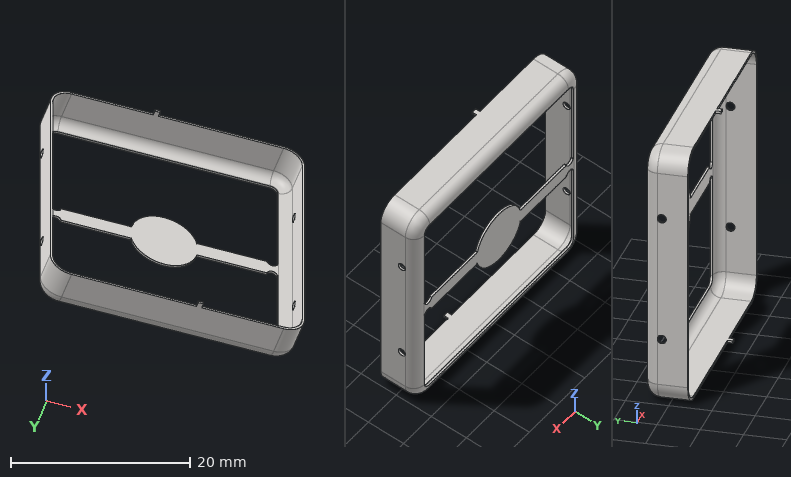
import cadquery as cq

width = 30.0
height = 31.2
depth = 5.0
wall = 0.3
corner_radius = 2.5
back_round = 1.5
lip_width = 1.6

disc_diameter = 8.0
arm_width = 2.0
notch_radius = 0.6
notch_x = 12.75
neck_width = 1.0

pin_hole_diameter = 1.0
pin_hole_y = 3.0
pin_hole_spacing = 15.0

tab_width = 0.65
tab_length = 0.6
tab_offset = 2.55


def rounded_block(inset, y_start, y_end):
    """Block with the frame outline moved inward by inset, spanning y_start to y_end."""
    length = y_end - y_start
    return (
        cq.Workplane("XY")
        .box(width - 2 * inset, length, height - 2 * inset)
        .edges("|Y")
        .fillet(corner_radius - inset)
        .translate((0, y_start + length / 2, 0))
    )


def make_frame():
    """Thin walls with a rounded back edge that turns inward to a narrow lip."""
    outer = rounded_block(0, 0, depth).faces(">Y").edges().fillet(back_round)
    cavity = rounded_block(wall, 0, depth - wall).faces(">Y").edges().fillet(back_round - wall)
    opening = rounded_block(lip_width, 0, depth)
    return outer.cut(cavity).cut(opening)


def make_crossbar():
    """Flat arm across the opening, level with the lip, with a disc in its middle."""
    arm_length = width - 2 * back_round
    middle_y = depth - wall / 2
    arm = cq.Workplane("XY").box(arm_length, wall, arm_width).translate((0, middle_y, 0))
    notch_z = neck_width / 2 + notch_radius
    notch_centers = [(x, z) for x in (-notch_x, notch_x) for z in (-notch_z, notch_z)]
    back_plane = cq.Workplane("XZ", origin=(0, depth, 0))
    notches = back_plane.pushPoints(notch_centers).circle(notch_radius).extrude(wall)
    disc = back_plane.circle(disc_diameter / 2).extrude(wall)
    return arm.cut(notches).union(disc)


def make_pin_holes():
    """Pin holes running along X through both side walls."""
    centers = [(pin_hole_y, z) for z in (-pin_hole_spacing / 2, pin_hole_spacing / 2)]
    return (
        cq.Workplane("YZ")
        .pushPoints(centers)
        .circle(pin_hole_diameter / 2)
        .extrude(width / 2, both=True)
    )


def make_tab(side):
    """Small tab on the front edge of the top (side = 1) or bottom (side = -1) wall."""
    return (
        cq.Workplane("XY")
        .box(tab_width, tab_length + wall, wall)
        .translate((-side * tab_offset, (wall - tab_length) / 2, side * (height - wall) / 2))
    )


result = make_frame().cut(make_pin_holes()).union(make_crossbar())
for side in (-1, 1):
    result = result.union(make_tab(side))